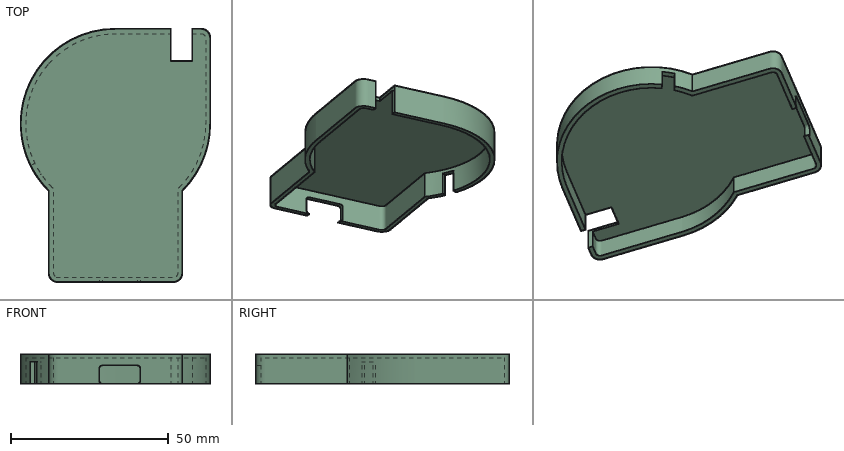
import cadquery as cq

total_length = 80.25
height = 9.5
case_radius = 30.0
stem_width = 42.4
corner_radius = 3.0
stem_end_y = case_radius - total_length

wall = 1.5
roof = 1.2

slot_width = 6.75
slot_depth = 10.2
slot_center_x = 20.9

notch_width = 4.0
notch_height = 7.1
notch_angle = 210.0

window_width = 12.9
window_height = 5.85
window_corner_radius = 1.0
window_center_x = 1.4

clearance = 1.6


def case_solid(inset, depth):
    """Solid with the case outline moved inwards by inset, standing on Z = 0."""
    radius = case_radius - inset
    rounding = corner_radius - inset
    stem_length = -stem_end_y - inset

    disc = cq.Workplane("XY").circle(radius).extrude(depth)
    square_corner = (
        cq.Workplane("XY")
        .rect(radius, radius, centered=False)
        .extrude(depth)
        .edges("|Z and >X and >Y")
        .fillet(rounding)
    )
    stem = (
        cq.Workplane("XY")
        .center(0, -stem_length / 2)
        .rect(stem_width - 2 * inset, stem_length)
        .extrude(depth)
        .edges("|Z and <Y")
        .fillet(rounding)
    )
    return disc.union(square_corner).union(stem)


def slot_cutter():
    return (
        cq.Workplane("XY")
        .center(slot_center_x, case_radius)
        .rect(slot_width, 2 * slot_depth)
        .extrude(height)
    )


def notch_cutter():
    length = wall + 2 * clearance
    return (
        cq.Workplane("XY")
        .center(case_radius - wall / 2, 0)
        .rect(length, notch_width)
        .extrude(notch_height)
        .rotate((0, 0, 0), (0, 0, 1), notch_angle)
    )


def window_cutter():
    return (
        cq.Workplane("XZ", origin=(window_center_x, stem_end_y - clearance, window_height / 2))
        .rect(window_width, window_height)
        .extrude(-(wall + 2 * clearance))
        .edges("|Y")
        .fillet(window_corner_radius)
    )


shell = case_solid(0, height).cut(case_solid(wall, height - roof))
result = shell.cut(slot_cutter()).cut(notch_cutter()).cut(window_cutter())